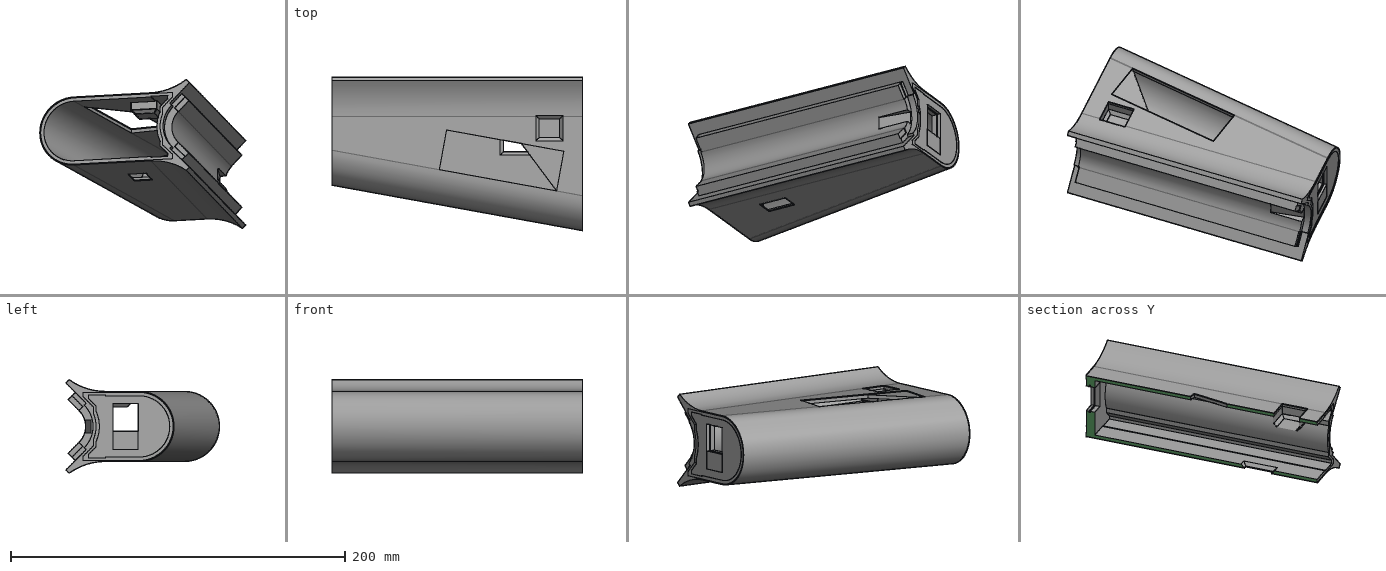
import cadquery as cq
import math

LENGTH = 150.0
HALF_HEIGHT = 21.0
EDGE_CENTRE_START = -45.5
EDGE_CENTRE_END = -72.71
FLAT_START_Y = -25.4
COS45 = math.sqrt(0.5)

WING_TIP_Y = -1.74
WING_TIP_Z = 26.0
WING_TIP_STEP = 2.0
SADDLE_FLAT_DIST = (WING_TIP_Z - WING_TIP_Y) * COS45
SADDLE_RADIUS = 18.0

CORE_HALF_HEIGHT = 20.4
CORE_SADDLE_RADIUS = 19.8
CORE_SLANT_DIST = 21.1
CORE_CORNER_Y = -12.05
CORE_STEP_Y = -18.26
CAVITY_HALF_HEIGHT = 18.35
CAVITY_FRONT_HALF_HEIGHT = 18.8
CAVITY_SADDLE_RADIUS = 21.8
CAVITY_SLANT_DIST = 22.6
CAVITY_CORNER_Y = -15.2
CAVITY_STEP_Y = -19.8
END_WALL = 6.0
PANEL_RECESS = 0.2

WINDOW_Y_MIN = -45.0
WINDOW_WIDTH = 15.0
WINDOW_TOP = 13.6
WINDOW_SILL = -2.8
WINDOW_PANEL_BOTTOM = -13.7
GROOVE_X = 2.2
GROOVE_WIDTH = 0.8
GROOVE_DEPTH = 1.0

TUBE_RADIUS = 13.5
PAD_LENGTH = 9.2
PAD_THICKNESS = 3.3
CRADLE_INSET = 4.0
PAD_INSET = 4.5
RAMP_WIDTH = 7.7
RAMP_DEPTH = 3.2
RAMP_LENGTH = 20.0

POCKET_X = 122.0
POCKET_Y_MIN = -39.9
POCKET_SIZE_X = 16.3
POCKET_SIZE_Y = 15.1
POCKET_STRAIGHT_BOTTOM = 14.1
POCKET_TAPER = 2.0
POCKET_WALL = 0.5

OPENING_X = 100.7
OPENING_Y_MIN = -48.4
OPENING_SIZE_X = 21.7
OPENING_SIZE_Y = 15.0
OPENING_TAPER = 2.0

PORT_ANGLE = -math.degrees(math.atan2(EDGE_CENTRE_START - EDGE_CENTRE_END, LENGTH))
PORT_CORNER_X = 68.6
PORT_CORNER_Y = -33.4
PORT_LENGTH = 71.3
PORT_WIDTH = 24.1
GUSSET_START = 45.4
MARGIN = 1.0


def edge_centre(x):
    return EDGE_CENTRE_START + (EDGE_CENTRE_END - EDGE_CENTRE_START) * x / LENGTH


def loft_section(section, x_start, x_end):
    """Ruled solid between two sections of the tapered grip."""
    wires = [section(x).val() for x in (x_start, x_end)]
    return cq.Workplane(cq.Solid.makeLoft(wires, True))


def sleeve_section(x):
    centre = edge_centre(x)
    top = HALF_HEIGHT
    crest_y = WING_TIP_Y - WING_TIP_STEP
    crest_z = WING_TIP_Z + WING_TIP_STEP
    run = crest_y - FLAT_START_Y
    rise = crest_z - top
    flank_radius = (run**2 + rise**2) / (2 * rise)
    mid_angle = math.asin(run / flank_radius) / 2
    mid_y = FLAT_START_Y + flank_radius * math.sin(mid_angle)
    mid_z = top + flank_radius * (1 - math.cos(mid_angle))
    foot = SADDLE_FLAT_DIST * COS45
    neck = SADDLE_RADIUS * COS45
    return (
        cq.Workplane("YZ", origin=(x, 0, 0))
        .moveTo(WING_TIP_Y, WING_TIP_Z)
        .lineTo(crest_y, crest_z)
        .threePointArc((mid_y, mid_z), (FLAT_START_Y, top))
        .lineTo(centre, top)
        .threePointArc((centre - top, 0), (centre, -top))
        .lineTo(FLAT_START_Y, -top)
        .threePointArc((mid_y, -mid_z), (crest_y, -crest_z))
        .lineTo(WING_TIP_Y, -WING_TIP_Z)
        .lineTo(-foot, -foot)
        .lineTo(-neck, -neck)
        .threePointArc((-SADDLE_RADIUS, 0), (-neck, neck))
        .lineTo(-foot, foot)
        .close()
        .wire()
    )


def inner_section(x, corner_y, front_z, grip_z, slant_dist, step_y, radius):
    """Section following the sleeve: saddle arc, slanted faces, flat sides and round edge."""
    centre = edge_centre(x)
    slant = slant_dist / COS45
    arc_z = math.sqrt(radius**2 - step_y**2)
    outline = (
        cq.Workplane("YZ", origin=(x, 0, 0))
        .moveTo(step_y, arc_z)
        .lineTo(step_y, slant + step_y)
        .lineTo(corner_y, slant + corner_y)
        .lineTo(corner_y, front_z)
        .lineTo(FLAT_START_Y, front_z)
    )
    if front_z != grip_z:
        outline = outline.lineTo(FLAT_START_Y, grip_z)
    outline = (
        outline.lineTo(centre, grip_z)
        .threePointArc((centre - grip_z, 0), (centre, -grip_z))
        .lineTo(FLAT_START_Y, -grip_z)
    )
    if front_z != grip_z:
        outline = outline.lineTo(FLAT_START_Y, -front_z)
    return (
        outline.lineTo(corner_y, -front_z)
        .lineTo(corner_y, -slant - corner_y)
        .lineTo(step_y, -slant - step_y)
        .lineTo(step_y, -arc_z)
        .threePointArc((-radius, 0), (step_y, arc_z))
        .close()
        .wire()
    )


def core_section(x):
    return inner_section(
        x, CORE_CORNER_Y, CORE_HALF_HEIGHT, CORE_HALF_HEIGHT,
        CORE_SLANT_DIST, CORE_STEP_Y, CORE_SADDLE_RADIUS,
    )


def cavity_section(x):
    return inner_section(
        x, CAVITY_CORNER_Y, CAVITY_FRONT_HALF_HEIGHT, CAVITY_HALF_HEIGHT,
        CAVITY_SLANT_DIST, CAVITY_STEP_Y, CAVITY_SADDLE_RADIUS,
    )


def corner_box(x, y, z, size_x, size_y, size_z):
    return cq.Workplane("XY").box(size_x, size_y, size_z, centered=False).translate((x, y, z))


def tapered_recess(x, y, z_top, size_x, size_y, taper):
    """Recess with 45 degree walls, narrowing downward from z_top by its taper."""
    return (
        cq.Workplane("XY", origin=(x + size_x / 2, y + size_y / 2, z_top))
        .rect(size_x, size_y)
        .workplane(offset=-taper)
        .rect(size_x - 2 * taper, size_y - 2 * taper)
        .loft(ruled=True)
    )


def hopper(wall):
    """Pocket shape grown by a wall on its sides and bottom."""
    x = POCKET_X - wall
    y = POCKET_Y_MIN - wall
    size_x = POCKET_SIZE_X + 2 * wall
    size_y = POCKET_SIZE_Y + 2 * wall
    bottom = POCKET_STRAIGHT_BOTTOM - wall
    upper = corner_box(x, y, bottom, size_x, size_y, HALF_HEIGHT + MARGIN - bottom)
    return upper.union(tapered_recess(x, y, bottom, size_x, size_y, POCKET_TAPER))


def port_cutter(points, depth):
    return (
        cq.Workplane("XY")
        .polyline(points)
        .close()
        .extrude(depth)
        .rotate((0, 0, 0), (0, 0, 1), PORT_ANGLE)
        .translate((PORT_CORNER_X, PORT_CORNER_Y, HALF_HEIGHT + MARGIN - depth))
    )


def bottom_opening():
    floor = -CAVITY_HALF_HEIGHT
    mouth = tapered_recess(
        OPENING_X, OPENING_Y_MIN, floor, OPENING_SIZE_X, OPENING_SIZE_Y, OPENING_TAPER
    )
    through = corner_box(
        OPENING_X + OPENING_TAPER,
        OPENING_Y_MIN + OPENING_TAPER,
        -HALF_HEIGHT - MARGIN,
        OPENING_SIZE_X - 2 * OPENING_TAPER,
        OPENING_SIZE_Y - 2 * OPENING_TAPER,
        HALF_HEIGHT + MARGIN - CAVITY_HALF_HEIGHT,
    )
    return mouth.union(through)


def cradle():
    """Arc with two slanted pad carriers, seated in the saddle."""
    tube_point = TUBE_RADIUS * COS45
    seat_point = SADDLE_RADIUS * COS45
    length = LENGTH - 2 * CRADLE_INSET
    body = (
        cq.Workplane("YZ", origin=(CRADLE_INSET, 0, 0))
        .moveTo(-tube_point, tube_point)
        .threePointArc((-TUBE_RADIUS, 0), (-tube_point, -tube_point))
        .lineTo(-seat_point, -seat_point)
        .threePointArc((-SADDLE_RADIUS, 0), (-seat_point, seat_point))
        .close()
        .extrude(length)
    )
    carrier_radius = TUBE_RADIUS + PAD_THICKNESS
    for side in (1, -1):
        carrier = corner_box(
            CRADLE_INSET, -SADDLE_FLAT_DIST, 0, length, SADDLE_FLAT_DIST - carrier_radius, PAD_LENGTH
        )
        pad = corner_box(
            PAD_INSET, -carrier_radius, 0, LENGTH - 2 * PAD_INSET, PAD_THICKNESS, PAD_LENGTH
        )
        slab = carrier.union(pad).rotate((0, 0, 0), (1, 0, 0), -45)
        if side < 0:
            slab = slab.mirror("XY")
        body = body.union(slab)
    ramp = (
        cq.Workplane("XY", origin=(CRADLE_INSET, 0, -RAMP_WIDTH / 2))
        .moveTo(0, 0)
        .lineTo(0, -TUBE_RADIUS - RAMP_DEPTH)
        .lineTo(RAMP_LENGTH, -TUBE_RADIUS)
        .lineTo(RAMP_LENGTH, 0)
        .close()
        .extrude(RAMP_WIDTH)
    )
    return body.cut(ramp)


pocket = hopper(0)
opening = bottom_opening()
port_outline = [(0, 0), (PORT_LENGTH, 0), (PORT_LENGTH, -PORT_WIDTH), (0, -PORT_WIDTH)]
port_with_gusset = [(0, 0), (GUSSET_START, 0), (PORT_LENGTH, -PORT_WIDTH), (0, -PORT_WIDTH)]
core_blank = loft_section(core_section, 0, LENGTH)

sleeve = loft_section(sleeve_section, 0, LENGTH).cut(core_blank).union(cradle())
sleeve = sleeve.cut(port_cutter(port_outline, HALF_HEIGHT)).cut(pocket).cut(opening)

core = core_blank.cut(loft_section(cavity_section, END_WALL, LENGTH))
core = core.cut(loft_section(cavity_section, 0, PANEL_RECESS))
core = core.cut(
    corner_box(0, WINDOW_Y_MIN, WINDOW_SILL, END_WALL, WINDOW_WIDTH, WINDOW_TOP - WINDOW_SILL)
)
core = core.cut(
    corner_box(
        GROOVE_X, WINDOW_Y_MIN - GROOVE_DEPTH, WINDOW_SILL - GROOVE_DEPTH,
        GROOVE_WIDTH, WINDOW_WIDTH + 2 * GROOVE_DEPTH, WINDOW_TOP - WINDOW_SILL + 2 * GROOVE_DEPTH,
    )
)
core = core.cut(
    corner_box(
        0, WINDOW_Y_MIN, WINDOW_PANEL_BOTTOM,
        2 * PANEL_RECESS, WINDOW_WIDTH, WINDOW_SILL - WINDOW_PANEL_BOTTOM,
    )
)
core = core.cut(port_cutter(port_with_gusset, HALF_HEIGHT))
core = core.union(hopper(POCKET_WALL).intersect(core_blank)).cut(pocket).cut(opening)

result = cq.Compound.makeCompound([*sleeve.solids().vals(), *core.solids().vals()])